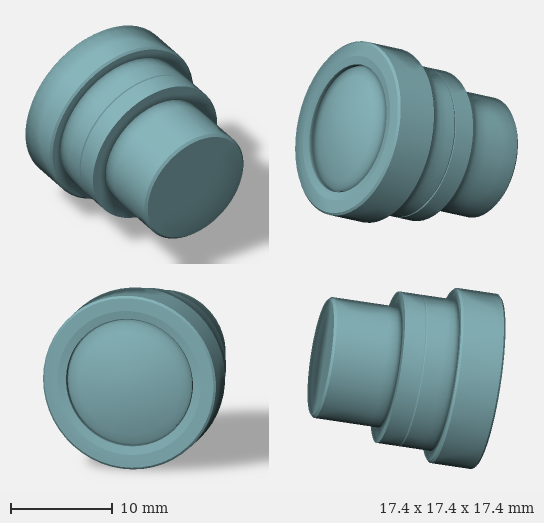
import cadquery as cq
import math

flange_front = 0.8
flange_back = 5.27
groove_front = 8.45
groove_back = 8.62
barrel_back = 10.7
tail_shoulder = 10.75
tail_back = 17.45

flange_diameter = 17.4
flange_radius = flange_diameter / 2
barrel_radius = 7.52
tail_radius = 6.0

flange_chamfer = 0.21
tail_chamfer = 0.25
groove_depth = groove_back - groove_front
undercut_depth = 0.07

countersink_radius = 7.2
countersink_depth = 0.17
opening_radius = 6.39

lens_radius = 6.25
lens_curvature = 15.6
lens_edge_thickness = 1.05
lens_rim = lens_curvature - math.sqrt(lens_curvature**2 - lens_radius**2)
gap_depth = 0.35
gap_floor = lens_rim + gap_depth
lens_back = lens_rim + lens_edge_thickness


def revolve_about_x(profile):
    """Turn a closed (x, radius) profile a full revolution about the X axis."""
    return profile.close().revolve(360, (0, 0, 0), (1, 0, 0))


def make_housing():
    """Stepped housing with a countersunk opening and a seat for the lens."""
    profile = (
        cq.Workplane("XY")
        .moveTo(lens_back, 0)
        .lineTo(lens_back, lens_radius)
        .lineTo(gap_floor, lens_radius)
        .lineTo(gap_floor, opening_radius)
        .lineTo(flange_front + countersink_depth, opening_radius)
        .lineTo(flange_front, countersink_radius)
        .lineTo(flange_front, flange_radius - flange_chamfer)
        .lineTo(flange_front + flange_chamfer, flange_radius)
        .lineTo(flange_back - flange_chamfer, flange_radius)
        .lineTo(flange_back, flange_radius - flange_chamfer)
        .lineTo(flange_back, barrel_radius)
        .lineTo(groove_front, barrel_radius)
        .lineTo(groove_back, barrel_radius - groove_depth)
        .lineTo(groove_back, barrel_radius)
        .lineTo(barrel_back, barrel_radius)
        .lineTo(barrel_back, tail_radius - undercut_depth)
        .lineTo(tail_shoulder, tail_radius - undercut_depth)
        .lineTo(tail_shoulder, tail_radius)
        .lineTo(tail_back - tail_chamfer, tail_radius)
        .lineTo(tail_back, tail_radius - tail_chamfer)
        .lineTo(tail_back, 0)
    )
    return revolve_about_x(profile)


def make_lens():
    """Plano-convex lens whose apex is at the origin."""
    mid_radius = lens_radius / 2
    mid_sag = lens_curvature - math.sqrt(lens_curvature**2 - mid_radius**2)
    profile = (
        cq.Workplane("XY")
        .moveTo(0, 0)
        .threePointArc((mid_sag, mid_radius), (lens_rim, lens_radius))
        .lineTo(lens_back, lens_radius)
        .lineTo(lens_back, 0)
    )
    return revolve_about_x(profile)


housing = make_housing()
lens = make_lens()

result = cq.Compound.makeCompound([housing.val(), lens.val()])